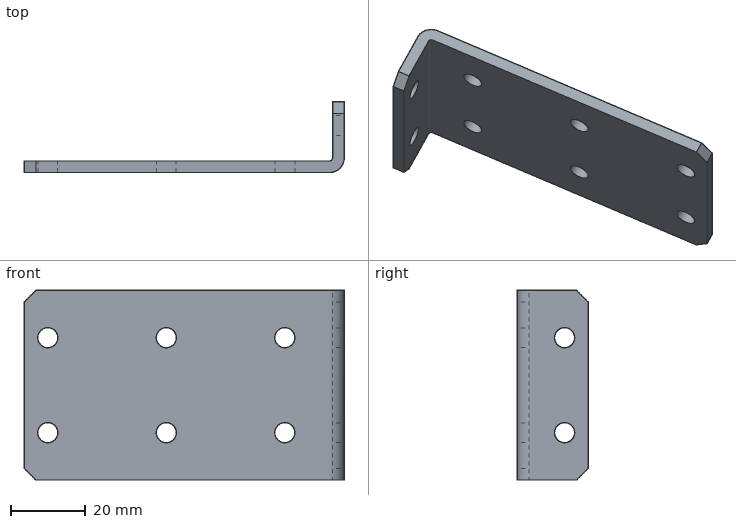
import cadquery as cq

length = 85.7
flange_depth = 19.0
height = 50.8

thickness = 3.2
inner_bend_radius = 0.9
outer_bend_radius = inner_bend_radius + thickness
corner_chamfer = 3.2

hole_diameter = 5.3
hole_edge_distance = 6.35
hole_pitch = 31.7
plate_hole_columns = 3
hole_row_heights = (height / 4, 3 * height / 4)


def bent_sheet():
    """L profile in the XY plane, extruded upwards, with a rounded bend."""
    plate = cq.Workplane("XY").box(length, thickness, height, centered=False)
    flange = (
        cq.Workplane("XY")
        .box(thickness, flange_depth, height, centered=False)
        .translate((length - thickness, 0, 0))
    )
    sheet = plate.union(flange)
    inner_corner = cq.NearestToPointSelector((length - thickness, thickness, height / 2))
    outer_corner = cq.NearestToPointSelector((length, 0, height / 2))
    sheet = sheet.edges("|Z").edges(inner_corner).fillet(inner_bend_radius)
    return sheet.edges("|Z").edges(outer_corner).fillet(outer_bend_radius)


def chamfer_free_corners(sheet):
    """Chamfer the top and bottom corners at the free end of each leg."""
    sheet = sheet.faces("<X").edges("|Y").chamfer(corner_chamfer)
    return sheet.faces(">Y").edges("|X").chamfer(corner_chamfer)


def plate_holes():
    """Through holes along Y in the long leg."""
    centers = [
        (hole_edge_distance + column * hole_pitch, z)
        for column in range(plate_hole_columns)
        for z in hole_row_heights
    ]
    return cq.Workplane("XZ").pushPoints(centers).circle(hole_diameter / 2).extrude(-thickness)


def flange_holes():
    """Through holes along X in the short leg."""
    centers = [(flange_depth - hole_edge_distance, z) for z in hole_row_heights]
    return (
        cq.Workplane("YZ", origin=(length - thickness, 0, 0))
        .pushPoints(centers)
        .circle(hole_diameter / 2)
        .extrude(thickness)
    )


result = chamfer_free_corners(bent_sheet()).cut(plate_holes()).cut(flange_holes())